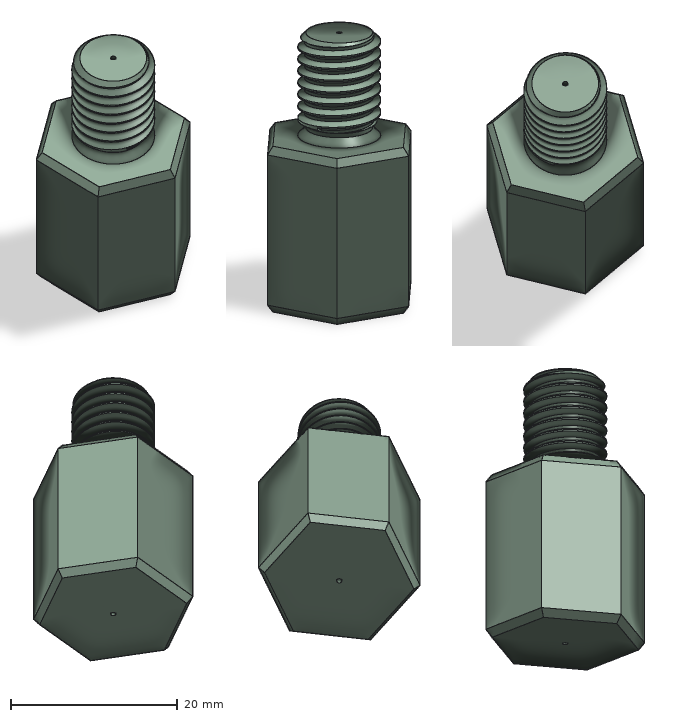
import cadquery as cq
import math

total_height = 34.0
across_flats = 17.0
body_height = 21.0
body_chamfer_height = 1.0
body_chamfer_inset = 0.65

major_radius = 5.0
neck_radius = 4.0
neck_height = 0.5
relief_height = 0.5
pitch = 1.5
crest_width = pitch / 8
root_width = pitch / 4
flank_angle = math.radians(30)
flank_run = (pitch - crest_width - root_width) / 2
thread_depth = flank_run / math.tan(flank_angle)
minor_radius = major_radius - thread_depth
groove_start = 22.68
groove_turns = 8
mouth_overlap = 0.1

blank_top = total_height + 3 * pitch

bore_diameter = 0.6


def hexagon_at(height):
    """Hexagon with flats facing X and corners on the Y axis."""
    corner_radius = across_flats / 2 / math.cos(math.radians(30))
    corners = []
    for index in range(6):
        angle = math.radians(30 + 60 * index)
        corners.append((corner_radius * math.cos(angle), corner_radius * math.sin(angle)))
    return cq.Workplane("XY").workplane(offset=height).polyline(corners).close()


def hex_body():
    """Hexagonal body with its top and bottom rims chamfered."""
    taper = math.degrees(math.atan2(body_chamfer_inset, body_chamfer_height))
    lower_edge = body_chamfer_height
    upper_edge = body_height - body_chamfer_height
    body = hexagon_at(lower_edge).extrude(upper_edge - lower_edge)
    top_rim = hexagon_at(upper_edge).extrude(body_chamfer_height, taper=taper)
    bottom_rim = hexagon_at(lower_edge).extrude(-body_chamfer_height, taper=taper)
    return body.union(top_rim).union(bottom_rim)


def stud_blank():
    """Unthreaded, overlong stud with flared foot, neck and thread relief."""
    neck_bottom = body_height + major_radius - neck_radius
    neck_top = neck_bottom + neck_height
    return (
        cq.Workplane("XZ")
        .moveTo(0, body_height)
        .lineTo(major_radius, body_height)
        .lineTo(neck_radius, neck_bottom)
        .lineTo(neck_radius, neck_top)
        .lineTo(major_radius, neck_top + relief_height)
        .lineTo(major_radius, blank_top)
        .lineTo(0, blank_top)
        .close()
        .revolve(360, (0, 0, 0), (0, 1, 0))
    )


def thread_groove():
    """Right-hand helical groove, starting on the +X side and leaving through the tip."""
    mouth_radius = major_radius + mouth_overlap
    mouth_half = root_width / 2 + flank_run + mouth_overlap * math.tan(flank_angle)
    helix = cq.Wire.makeHelix(pitch, groove_turns * pitch, minor_radius)
    groove = (
        cq.Workplane("XZ")
        .moveTo(minor_radius, -root_width / 2)
        .lineTo(mouth_radius, -mouth_half)
        .lineTo(mouth_radius, mouth_half)
        .lineTo(minor_radius, root_width / 2)
        .close()
        .sweep(cq.Workplane(obj=helix), isFrenet=True)
    )
    return groove.translate((0, 0, groove_start))


def tip_waste():
    """Everything beyond the flat tip and its 45-degree chamfer."""
    waste_radius = major_radius + 2 * mouth_overlap
    waste_top = blank_top + pitch
    return (
        cq.Workplane("XZ")
        .moveTo(0, total_height)
        .lineTo(neck_radius, total_height)
        .lineTo(waste_radius, total_height - (waste_radius - neck_radius))
        .lineTo(waste_radius, waste_top)
        .lineTo(0, waste_top)
        .close()
        .revolve(360, (0, 0, 0), (0, 1, 0))
    )


stud = stud_blank().cut(thread_groove()).cut(tip_waste())
bore = cq.Workplane("XY").circle(bore_diameter / 2).extrude(total_height)
result = hex_body().union(stud).cut(bore)